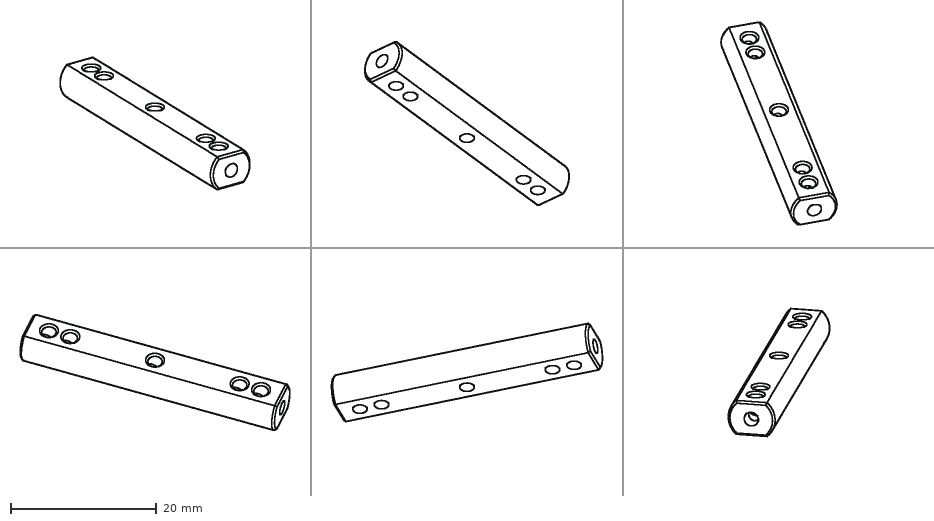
import cadquery as cq

length = 37.5
rod_diameter = 6.6
flat_to_flat = 5.0
end_chamfer = 0.3

hole_diameter = 2.0
countersink_diameter = 2.6
countersink_angle = 90.0
inner_hole_offset = 12.5
outer_hole_offset = 15.65


def flatted_bar():
    """Rod centred on the origin, cut down to its two flats, with chamfered ends."""
    rod = cq.Workplane("YZ").circle(rod_diameter / 2).extrude(length / 2, both=True)
    flats = cq.Workplane("XY").box(length, rod_diameter, flat_to_flat)
    return rod.intersect(flats).faces("<X or >X").chamfer(end_chamfer)


def drill_axial_bore(bar):
    return bar.faces("<X").workplane(origin=(0, 0, 0)).hole(hole_diameter)


def drill_cross_holes(bar):
    """Through holes along Z, countersunk in the top flat and mirrored about the middle."""
    hole_places = [
        (-outer_hole_offset, 0),
        (-inner_hole_offset, 0),
        (0, 0),
        (inner_hole_offset, 0),
        (outer_hole_offset, 0),
    ]
    top_flat = bar.faces(">Z").workplane(origin=(0, 0, 0))
    return top_flat.pushPoints(hole_places).cskHole(
        hole_diameter, countersink_diameter, countersink_angle
    )


result = drill_cross_holes(drill_axial_bore(flatted_bar()))